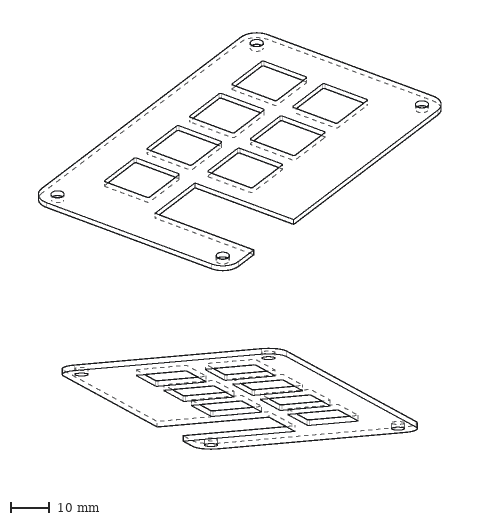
import cadquery as cq

plate_width = 61.8
plate_length = 99.4
plate_thickness = 1.5
corner_radius = 5.0

hole_diameter = 3.4
hole_inset = corner_radius

window_size = 14.0
window_corner_radius = 0.5
window_pitch = 19.1
window_left_margin = 11.1
window_top_margin = 11.1
windows_per_column = (4, 3)

notch_depth = 31.0
notch_height = 17.9
notch_bottom_margin = 11.8

left_edge = -plate_width / 2
right_edge = plate_width / 2
top_edge = plate_length / 2
bottom_edge = -plate_length / 2


def make_plate():
    plate = cq.Workplane("XY").box(
        plate_width, plate_length, plate_thickness, centered=(True, True, False)
    )
    return plate.edges("|Z").fillet(corner_radius)


def make_mounting_holes():
    return (
        cq.Workplane("XY")
        .rect(plate_width - 2 * hole_inset, plate_length - 2 * hole_inset, forConstruction=True)
        .vertices()
        .circle(hole_diameter / 2)
        .extrude(plate_thickness)
    )


def make_key_windows():
    first_x = left_edge + window_left_margin + window_size / 2
    first_y = top_edge - window_top_margin - window_size / 2
    centers = [
        (first_x + column * window_pitch, first_y - row * window_pitch)
        for column, row_count in enumerate(windows_per_column)
        for row in range(row_count)
    ]
    windows = (
        cq.Workplane("XY")
        .pushPoints(centers)
        .rect(window_size, window_size)
        .extrude(plate_thickness)
    )
    return windows.edges("|Z").fillet(window_corner_radius)


def make_notch():
    center_x = right_edge - notch_depth / 2
    center_y = bottom_edge + notch_bottom_margin + notch_height / 2
    return (
        cq.Workplane("XY")
        .center(center_x, center_y)
        .rect(notch_depth, notch_height)
        .extrude(plate_thickness)
    )


result = make_plate().cut(make_mounting_holes()).cut(make_key_windows()).cut(make_notch())